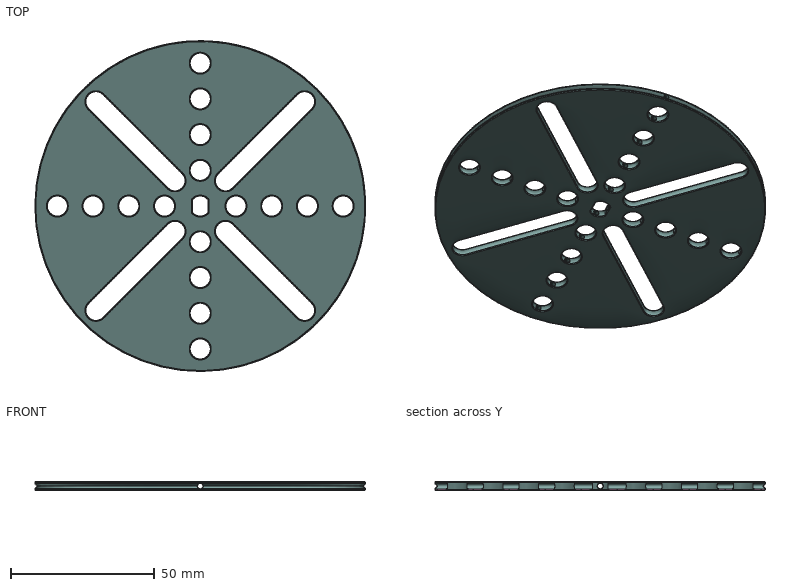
import cadquery as cq

disc_diameter = 115.6
disc_radius = disc_diameter / 2
thickness = 3.1
edge_chamfer = 0.3

groove_width = 1.8
groove_depth = groove_width / 2
seam_angle = 45

bore_diameter = 2.0

hole_diameter = 7.0
hole_pitch = 12.5
holes_per_arm = 4

slot_inner = hole_pitch
slot_outer = 51.6

flat_spacing = 5.4

arm_angles = (0, 90, 180, 270)
diagonal_angles = (45, 135, 225, 315)


def turn(body, angle):
    """Turn a body about the disc axis."""
    return body.rotate((0, 0, 0), (0, 0, 1), angle)


def make_disc():
    """Plain disc with the V groove in its rim, centred on the origin."""
    disc = (
        cq.Workplane("XZ")
        .moveTo(0, -thickness / 2)
        .lineTo(disc_radius, -thickness / 2)
        .lineTo(disc_radius, -groove_width / 2)
        .lineTo(disc_radius - groove_depth, 0)
        .lineTo(disc_radius, groove_width / 2)
        .lineTo(disc_radius, thickness / 2)
        .lineTo(0, thickness / 2)
        .close()
        .revolve(360, (0, 0, 0), (0, 1, 0))
    )
    return turn(disc, seam_angle)


def make_round_cutter():
    """Round cutter on the disc axis, as tall as the disc."""
    return cq.Workplane("XY").circle(hole_diameter / 2).extrude(thickness / 2, both=True)


def make_hole_rows():
    """Cutters for the four straight rows of round holes."""
    cutters = []
    for angle in arm_angles:
        for position in range(1, holes_per_arm + 1):
            cutter = make_round_cutter().translate((position * hole_pitch, 0, 0))
            cutters.append(turn(cutter, angle))
    return cutters


def make_slots():
    """Cutters for the four diagonal slots."""
    slot = (
        cq.Workplane("XY")
        .center((slot_inner + slot_outer) / 2, 0)
        .slot2D(slot_outer - slot_inner + hole_diameter, hole_diameter)
        .extrude(thickness / 2, both=True)
    )
    return [turn(slot, angle) for angle in diagonal_angles]


def make_center_hole():
    """Round cutter trimmed to two parallel flats."""
    flats = cq.Workplane("XY").box(flat_spacing, hole_diameter, thickness)
    return make_round_cutter().intersect(flats)


def make_cross_bores():
    """Bores from the centre out through the rim along each row of holes."""
    bore = cq.Workplane("YZ").circle(bore_diameter / 2).extrude(disc_diameter)
    bore = bore.rotate((0, 0, 0), (1, 0, 0), 90)
    return [turn(bore, angle) for angle in arm_angles]


plate = make_disc()
for cutter in make_hole_rows() + make_slots() + [make_center_hole()]:
    plate = plate.cut(cutter)

plate = plate.faces("|Z").edges().chamfer(edge_chamfer)

for bore in make_cross_bores():
    plate = plate.cut(bore)

result = plate